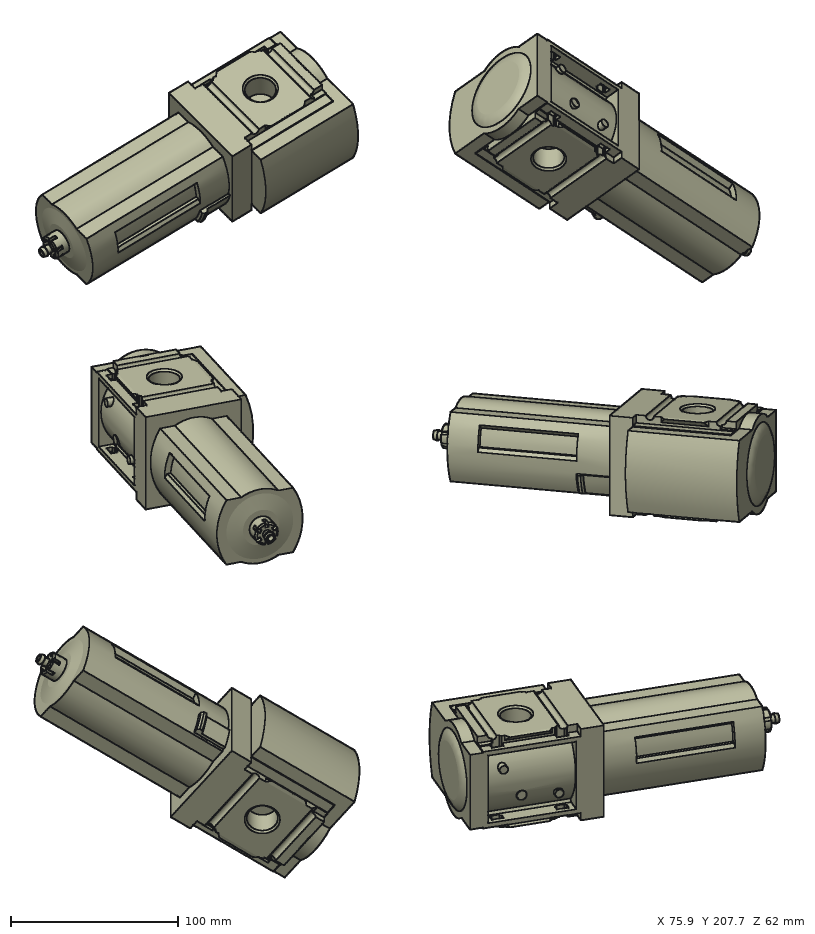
import cadquery as cq
import math


HOUSING_HALF = 31.0
FLANGE_BACK = 14.5
CAP_FRONT = 76.3
CAP_BACK = 84.5
CORE_HALF = 24.1
RAIL_Z = 26.0
COVER_Z = 25.4
COVER_FLAT_X = 40.0
COVER_CROWN_X = 44.9
CAP_CROWN_HALF = 14.8
CAP_CROWN_Z = 30.5
DOME_TOP_RADIUS = 18.0
DOME_HEIGHT = 2.7

PORT_Y = 45.3
PORT_DIAMETER = 18.7
PORT_CHAMFER = 1.2
PORT_DEPTH = 16.6
GROOVE_DIAMETER = 5.0
GROOVE_OFFSET = 22.2
TAB_HALF = 20.4
TAB_Z = 26.5
WEDGE_REACH = 2.5
WEDGE_DROP = 0.5
WEDGE_BOTTOM = 27.6
WEDGE_LENGTH = 30.0
CLIP_OFFSET = 20.5
CLIP_LENGTH = 7.5
CLIP_OUTER_X = 27.5
CLIP_INNER_X = 23.7
CLIP_NOTCH_LENGTH = 5.0
CLIP_NOTCH_X = 22.7

WINDOW_HALF = 22.9
WINDOW_FRONT = 17.5
WINDOW_BACK = 73.1
WINDOW_CORNER_X = 21.5
DRUM_HALF = 21.0
DRUM_EDGE_X = 20.2
DRUM_CROWN_X = 29.5
WINDOW_PINS = [
    (63.0, 11.2, 5.5, 30.3),
    (27.8, -10.8, 5.5, 30.3),
    (51.3, -8.5, 6.2, 29.3),
]

BOWL_LENGTH = 103.3
BOWL_CORNER = 21.6
BOWL_SIDE_X = 27.8
BOWL_RIB_RADIUS = 24.7
SIDE_RADIUS = (BOWL_CORNER**2 + (BOWL_SIDE_X - BOWL_CORNER) ** 2) / (2 * (BOWL_SIDE_X - BOWL_CORNER))
SIDE_CENTRE_X = BOWL_SIDE_X - SIDE_RADIUS
CONE_TOP_RADIUS = 11.6
CONE_HEIGHT = 1.9
SIGHT_FRONT = -84.0
SIGHT_BACK = -21.8
SIGHT_TOP = 16.0
SIGHT_FLOOR_TOP = 13.3
SIGHT_FLOOR_BOTTOM = 2.3
SIGHT_LIP = 1.9
SIGHT_DEPTH = 4.0
BUTTON_TOP = -8.1
BUTTON_BOTTOM = -20.4
BUTTON_RISE = 1.7
BUTTON_LENGTH = 17.2
RIDGE_RISE = 3.5
RIDGE_LENGTH = 4.4
RIDGE_CHAMFER = 1.2

DRAIN_DIAMETER = 15.0
DRAIN_END = -114.5
DRAIN_CHAMFER_WIDTH = 1.2
DRAIN_CHAMFER_LENGTH = 0.8
SLOT_COUNT = 6
SLOT_WIDTH = 2.0
SLOT_LENGTH = 5.0
SLOT_INNER_RADIUS = 4.5
STEM_DIAMETER = 5.5
COLLAR_DIAMETER = 6.5
COLLAR_START = -117.8
COLLAR_LENGTH = 0.8
NOZZLE_END = -120.5
NOZZLE_BORE = 3.7
NOZZLE_BORE_DEPTH = 5.0

MARGIN = 2.0


def box(x0, x1, y0, y1, z0, z1):
    return cq.Workplane("XY").box(x1 - x0, y1 - y0, z1 - z0, centered=False).translate((x0, y0, z0))


def section(y_back):
    """Workplane in X and Z at y_back; extruding it goes toward -Y."""
    return cq.Workplane("XZ", origin=(0, y_back, 0))


def mirrored(shape, plane):
    return shape.union(shape.mirror(plane))


def side_x(z, rise=0.0):
    """X of the bowl's +X side surface at height z, raised outward by rise."""
    return SIDE_CENTRE_X + math.sqrt((SIDE_RADIUS + rise) ** 2 - z**2)


def housing_shell():
    square = box(-HOUSING_HALF, HOUSING_HALF, 0, FLANGE_BACK, -HOUSING_HALF, HOUSING_HALF)
    rails = box(-HOUSING_HALF, HOUSING_HALF, FLANGE_BACK, CAP_FRONT, -RAIL_Z, RAIL_Z)
    core = box(-CORE_HALF, CORE_HALF, FLANGE_BACK, CAP_FRONT, -HOUSING_HALF, HOUSING_HALF)
    return square.union(rails).union(core)


def cover_and_cap():
    side_cover = (
        section(CAP_BACK)
        .moveTo(HOUSING_HALF, -COVER_Z)
        .lineTo(COVER_FLAT_X, -COVER_Z)
        .threePointArc((COVER_CROWN_X, 0), (COVER_FLAT_X, COVER_Z))
        .lineTo(HOUSING_HALF, COVER_Z)
        .close()
        .extrude(CAP_BACK - FLANGE_BACK)
    )
    cap = (
        section(CAP_BACK)
        .moveTo(-HOUSING_HALF, -COVER_Z)
        .lineTo(-CAP_CROWN_HALF, -COVER_Z)
        .threePointArc((0, -CAP_CROWN_Z), (CAP_CROWN_HALF, -COVER_Z))
        .lineTo(HOUSING_HALF, -COVER_Z)
        .lineTo(HOUSING_HALF, COVER_Z)
        .lineTo(CAP_CROWN_HALF, COVER_Z)
        .threePointArc((0, CAP_CROWN_Z), (-CAP_CROWN_HALF, COVER_Z))
        .lineTo(-HOUSING_HALF, COVER_Z)
        .close()
        .extrude(CAP_BACK - CAP_FRONT)
    )
    return side_cover.union(cap)


def dome():
    """Flat-topped dome on the back; its rim is an arc tangent to the flat top."""
    rim = COVER_Z - DOME_TOP_RADIUS
    arc_radius = (rim**2 + DOME_HEIGHT**2) / (2 * DOME_HEIGHT)
    half_angle = math.asin(rim / arc_radius) / 2
    top = CAP_BACK + DOME_HEIGHT
    middle = (
        DOME_TOP_RADIUS + arc_radius * math.sin(half_angle),
        top - arc_radius * (1 - math.cos(half_angle)),
    )
    return (
        cq.Workplane("XY")
        .moveTo(0, CAP_BACK)
        .lineTo(COVER_Z, CAP_BACK)
        .threePointArc(middle, (DOME_TOP_RADIUS, top))
        .lineTo(0, top)
        .close()
        .revolve(360, (0, 0), (0, 1))
    )


def locking_wedge():
    """Undercut wedge along the upper edge of the raised middle, with 45 degree ends."""
    rim_x = CORE_HALF + WEDGE_REACH
    half = WEDGE_LENGTH / 2
    profile = (
        section(PORT_Y + half)
        .moveTo(CORE_HALF, HOUSING_HALF)
        .lineTo(rim_x, HOUSING_HALF - WEDGE_DROP)
        .lineTo(CORE_HALF, WEDGE_BOTTOM)
        .close()
        .extrude(WEDGE_LENGTH)
    )
    outline = (
        cq.Workplane("XY", origin=(0, PORT_Y, WEDGE_BOTTOM))
        .moveTo(CORE_HALF, -half)
        .lineTo(rim_x, -half + WEDGE_REACH)
        .lineTo(rim_x, half - WEDGE_REACH)
        .lineTo(CORE_HALF, half)
        .close()
        .extrude(HOUSING_HALF - WEDGE_BOTTOM)
    )
    return profile.intersect(outline)


def port_face_cuts():
    """Port, cross grooves, corner tabs and clip slots of the top port face."""
    radius = PORT_DIAMETER / 2
    cuts = (
        cq.Workplane("XY", origin=(0, PORT_Y, HOUSING_HALF - PORT_DEPTH))
        .circle(radius)
        .extrude(PORT_DEPTH)
        .union(
            cq.Workplane("XY", origin=(0, PORT_Y, HOUSING_HALF - PORT_CHAMFER))
            .circle(radius)
            .workplane(offset=PORT_CHAMFER)
            .circle(radius + PORT_CHAMFER)
            .loft()
        )
    )
    for direction in (-1, 1):
        groove = (
            cq.Workplane("YZ", origin=(-CORE_HALF, PORT_Y + direction * GROOVE_OFFSET, HOUSING_HALF))
            .circle(GROOVE_DIAMETER / 2)
            .extrude(2 * CORE_HALF)
        )
        clip_y = PORT_Y + direction * CLIP_OFFSET
        half = CLIP_LENGTH / 2
        notch_half = CLIP_NOTCH_LENGTH / 2
        top = HOUSING_HALF + MARGIN
        slot = box(-CLIP_OUTER_X, -CLIP_INNER_X, clip_y - half, clip_y + half, DRUM_HALF, top)
        notch = box(-CLIP_INNER_X, -CLIP_NOTCH_X, clip_y - notch_half, clip_y + notch_half, DRUM_HALF, top)
        cuts = cuts.union(groove).union(slot).union(notch)
    tab = box(TAB_HALF, CORE_HALF, PORT_Y + GROOVE_OFFSET, CAP_FRONT, TAB_Z, HOUSING_HALF)
    return cuts.union(mirrored(tab, "YZ"))


def window():
    """Pocket in the -X side; its floor is the convex drum, met by a slope along both long edges."""
    return (
        section(WINDOW_BACK)
        .moveTo(-HOUSING_HALF, -WINDOW_HALF)
        .lineTo(-WINDOW_CORNER_X, -WINDOW_HALF)
        .lineTo(-DRUM_EDGE_X, -DRUM_HALF)
        .threePointArc((-DRUM_CROWN_X, 0), (-DRUM_EDGE_X, DRUM_HALF))
        .lineTo(-WINDOW_CORNER_X, WINDOW_HALF)
        .lineTo(-HOUSING_HALF, WINDOW_HALF)
        .close()
        .extrude(WINDOW_BACK - WINDOW_FRONT)
    )


def window_pin(y, z, diameter, end_x):
    pin = cq.Workplane("YZ", origin=(-end_x, y, z))
    return pin.circle(diameter / 2).extrude(end_x - DRUM_EDGE_X)


def make_housing():
    wedges = mirrored(mirrored(locking_wedge(), "YZ"), "XY")
    housing = housing_shell().union(cover_and_cap()).union(dome()).union(wedges)
    housing = housing.cut(window())
    for y, z, diameter, end_x in WINDOW_PINS:
        housing = housing.union(window_pin(y, z, diameter, end_x))
    return housing.cut(mirrored(port_face_cuts(), "XY"))


def bowl_barrel():
    corner = BOWL_CORNER
    rib_x = math.sqrt(BOWL_RIB_RADIUS**2 - corner**2)
    return (
        section(0)
        .moveTo(corner, -corner)
        .threePointArc((BOWL_SIDE_X, 0), (corner, corner))
        .lineTo(rib_x, corner)
        .threePointArc((0, BOWL_RIB_RADIUS), (-rib_x, corner))
        .lineTo(-corner, corner)
        .threePointArc((-BOWL_SIDE_X, 0), (-corner, -corner))
        .lineTo(-rib_x, -corner)
        .threePointArc((0, -BOWL_RIB_RADIUS), (rib_x, -corner))
        .close()
        .extrude(BOWL_LENGTH)
    )


def sight_pocket():
    """Pocket in the +X side: a sloped lower lip, a flat ledge, a curved floor and a sloped top wall."""
    middle_z = (SIGHT_FLOOR_BOTTOM + SIGHT_FLOOR_TOP) / 2
    floor_middle = (side_x(middle_z, -SIGHT_DEPTH), middle_z)
    floor_top = (side_x(SIGHT_FLOOR_TOP, -SIGHT_DEPTH), SIGHT_FLOOR_TOP)
    return (
        section(SIGHT_BACK)
        .moveTo(BOWL_SIDE_X + MARGIN, 0)
        .lineTo(BOWL_SIDE_X, 0)
        .lineTo(BOWL_SIDE_X - SIGHT_LIP, SIGHT_FLOOR_BOTTOM)
        .lineTo(side_x(SIGHT_FLOOR_BOTTOM, -SIGHT_DEPTH), SIGHT_FLOOR_BOTTOM)
        .threePointArc(floor_middle, floor_top)
        .lineTo(side_x(SIGHT_TOP), SIGHT_TOP)
        .lineTo(BOWL_SIDE_X + MARGIN, SIGHT_TOP)
        .close()
        .extrude(SIGHT_BACK - SIGHT_FRONT)
    )


def button_layer(y_back, length, rise):
    """Layer that follows the bowl's +X side, raised outward by rise."""
    middle_z = (BUTTON_TOP + BUTTON_BOTTOM) / 2
    return (
        section(y_back)
        .moveTo(BOWL_CORNER, BUTTON_BOTTOM)
        .lineTo(side_x(BUTTON_BOTTOM, rise), BUTTON_BOTTOM)
        .threePointArc((side_x(middle_z, rise), middle_z), (side_x(BUTTON_TOP, rise), BUTTON_TOP))
        .lineTo(BOWL_CORNER, BUTTON_TOP)
        .close()
        .extrude(length)
    )


def release_button():
    plate = button_layer(0, BUTTON_LENGTH + RIDGE_LENGTH, BUTTON_RISE)
    ridge = button_layer(-BUTTON_LENGTH, RIDGE_LENGTH, RIDGE_RISE)
    ridge = ridge.edges("%CIRCLE").chamfer(RIDGE_CHAMFER)
    return plate.union(ridge)


def drain():
    """End cone, slotted drain collar and nozzle, turned about the Y axis."""
    cone_end = -BOWL_LENGTH - CONE_HEIGHT
    radius = DRAIN_DIAMETER / 2
    stem = STEM_DIAMETER / 2
    collar = COLLAR_DIAMETER / 2
    turned = (
        cq.Workplane("XY")
        .moveTo(0, -BOWL_LENGTH)
        .lineTo(BOWL_CORNER, -BOWL_LENGTH)
        .lineTo(CONE_TOP_RADIUS, cone_end)
        .lineTo(radius, cone_end)
        .lineTo(radius, DRAIN_END + DRAIN_CHAMFER_LENGTH)
        .lineTo(radius - DRAIN_CHAMFER_WIDTH, DRAIN_END)
        .lineTo(stem, DRAIN_END)
        .lineTo(stem, COLLAR_START)
        .lineTo(collar, COLLAR_START)
        .lineTo(collar, COLLAR_START - COLLAR_LENGTH)
        .lineTo(stem, NOZZLE_END)
        .lineTo(0, NOZZLE_END)
        .close()
        .revolve(360, (0, 0), (0, 1))
    )
    slot_end = DRAIN_END + SLOT_LENGTH
    slot = box(-SLOT_WIDTH / 2, SLOT_WIDTH / 2, DRAIN_END, slot_end, SLOT_INNER_RADIUS, radius + MARGIN)
    for index in range(SLOT_COUNT):
        turned = turned.cut(slot.rotate((0, 0, 0), (0, 1, 0), index * 360 / SLOT_COUNT))
    bore = section(NOZZLE_END + NOZZLE_BORE_DEPTH).circle(NOZZLE_BORE / 2).extrude(NOZZLE_BORE_DEPTH)
    return turned.cut(bore)


def make_bowl():
    barrel = bowl_barrel().cut(mirrored(sight_pocket(), "YZ"))
    return barrel.union(release_button()).union(drain())


housing = make_housing()
bowl = make_bowl()

result = cq.Compound.makeCompound([housing.solids().val(), bowl.solids().val()])